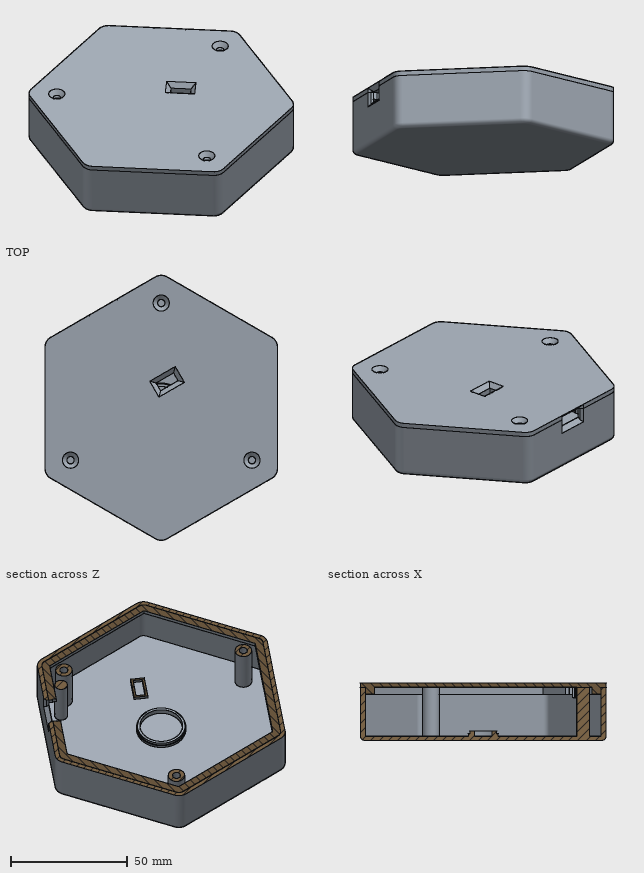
import cadquery as cq
import math

overall_length = 113.9
total_height = 25.0
corner_radius = 5.0
corner_half_angle = math.radians(30)
corner_cut = corner_radius * (1 / math.cos(corner_half_angle) - 1)
apothem = (overall_length / 2 + corner_cut) * math.cos(corner_half_angle)

plate_thickness = 2.0
side_wall = 2.2
lid_base = total_height - plate_thickness
cavity_height = lid_base - plate_thickness

lip_height = 3.0
lip_outer_thickness = 1.6
lip_thickness = 3.3

screw_circle_radius = 45.0
screw_angles = (90, 210, 330)
clearance_diameter = 3.1
countersink_diameter = 7.0
countersink_angle = 90
pilot_diameter = 3.2
lead_in_diameter = 5.9
screw_post_diameter = 7.3

port_angle = 120
port_length = 14.5
port_height = 8.4
port_end_bevel = 1.1
port_slot_length = port_length - 2 * port_end_bevel
port_base = total_height - port_height
notch_step = 0.2

guide_post_diameter = 5.6
guide_post_position = (-8.4, 43.0)

window_center = (2.5, 11.2)
window_angle = 30
window_length = 12.6
window_width = 7.9
window_frame_height = 2.6
window_frame_thickness = 1.1

ring_inner_diameter = 18.3
ring_outer_diameter = 20.5
ring_foot_diameter = 21.3
ring_height = 2.3
ring_foot_height = 1.1


def hexagon_prism(inset, base, height):
    """Rounded hexagonal prism whose sides lie `inset` inside the outer sides."""
    vertex_radius = (apothem - inset) / math.cos(corner_half_angle)
    corners = [
        (
            vertex_radius * math.cos(math.radians(angle)),
            vertex_radius * math.sin(math.radians(angle)),
        )
        for angle in range(30, 390, 60)
    ]
    prism = cq.Workplane("XY").workplane(offset=base).polyline(corners).close().extrude(height)
    radius = corner_radius - inset
    return prism.edges("|Z").fillet(radius) if radius > 0 else prism


def bevelled_opening(plane, length, width):
    """Rectangular opening that narrows at 45 degrees over one plate thickness."""
    inner_length = length - 2 * plate_thickness
    inner_width = width - 2 * plate_thickness
    return (
        cq.Workplane(plane)
        .rect(length, width)
        .workplane(offset=-plate_thickness)
        .rect(inner_length, inner_width)
        .loft(ruled=True)
    )


def port_slot():
    """Straight-ended throat of the port, whose sill rises at 45 degrees and then runs level."""
    inner_face = apothem - side_wall
    sill = port_base + plate_thickness
    throat = (
        cq.Workplane("XZ")
        .moveTo(apothem, port_base)
        .lineTo(apothem - plate_thickness, sill)
        .lineTo(inner_face, sill)
        .lineTo(inner_face, lid_base)
        .lineTo(apothem, lid_base)
        .close()
        .extrude(port_slot_length / 2, both=True)
    )
    return throat.rotate((0, 0, 0), (0, 0, 1), port_angle)


def notch_block(start, depth, length):
    """Gap in the lip across the port axis, starting `start` inward from the outer wall face."""
    return (
        cq.Workplane("XY")
        .box(depth, length, lip_height, centered=(False, True, False))
        .translate((apothem - start - depth, 0, lid_base - lip_height))
        .rotate((0, 0, 0), (0, 0, 1), port_angle)
    )


def port_funnel():
    """Bevelled mouth of the port, which reaches up to the top of the lid."""
    plane = cq.Plane(
        origin=(apothem, 0, port_base + port_height / 2), xDir=(0, 1, 0), normal=(1, 0, 0)
    )
    funnel = bevelled_opening(plane, port_length, port_height)
    return funnel.rotate((0, 0, 0), (0, 0, 1), port_angle)


def post(position, diameter):
    """Round post from the floor up to the lid."""
    floor = cq.Workplane("XY").workplane(offset=plate_thickness)
    return floor.center(*position).circle(diameter / 2).extrude(cavity_height)


def screw_post(position):
    """Post with a screw hole that opens into a conical lead-in at its top."""
    return (
        post(position, screw_post_diameter)
        .faces(">Z")
        .workplane()
        .cskHole(pilot_diameter, lead_in_diameter, countersink_angle)
    )


def floor_ring():
    """Upright ring with a slightly wider foot."""
    floor = cq.Workplane("XY").workplane(offset=plate_thickness)
    foot = floor.circle(ring_foot_diameter / 2).extrude(ring_foot_height)
    rim = floor.circle(ring_outer_diameter / 2).extrude(ring_height)
    bore = floor.circle(ring_inner_diameter / 2).extrude(ring_height)
    return foot.union(rim).cut(bore)


screw_points = [
    (
        screw_circle_radius * math.cos(math.radians(angle)),
        screw_circle_radius * math.sin(math.radians(angle)),
    )
    for angle in screw_angles
]


def make_housing():
    """Open hexagonal tray with screw posts, guide post, floor ring and port."""
    tray = hexagon_prism(0, 0, lid_base).faces("<Z").edges().fillet(plate_thickness)
    tray = tray.cut(hexagon_prism(side_wall, plate_thickness, cavity_height))
    tray = tray.cut(port_funnel()).cut(port_slot())
    for point in screw_points:
        tray = tray.union(screw_post(point))
    return tray.union(post(guide_post_position, guide_post_diameter)).union(floor_ring())


def make_lip():
    """Hexagonal lip under the lid, notched in two steps behind the port."""
    lip_base = lid_base - lip_height
    lip = hexagon_prism(side_wall, lip_base, lip_height)
    lip = lip.cut(hexagon_prism(side_wall + lip_thickness, lip_base, lip_height))
    outer_notch = notch_block(side_wall, lip_outer_thickness, port_slot_length)
    inner_notch = notch_block(
        side_wall + lip_outer_thickness,
        lip_thickness - lip_outer_thickness,
        port_slot_length + 2 * notch_step,
    )
    return lip.cut(outer_notch).cut(inner_notch)


def make_lid():
    """Lid plate with lip, countersunk screw holes and framed window."""
    window_plane = cq.Plane(origin=(*window_center, total_height)).rotated((0, 0, window_angle))
    inner_length = window_length - 2 * plate_thickness
    inner_width = window_width - 2 * plate_thickness
    frame = (
        cq.Workplane(window_plane)
        .workplane(offset=-plate_thickness)
        .rect(inner_length + 2 * window_frame_thickness, inner_width + 2 * window_frame_thickness)
        .rect(inner_length, inner_width)
        .extrude(-window_frame_height)
    )
    plate = (
        hexagon_prism(0, lid_base, plate_thickness)
        .faces(">Z")
        .workplane(origin=(0, 0, total_height))
        .pushPoints(screw_points)
        .cskHole(clearance_diameter, countersink_diameter, countersink_angle)
    )
    plate = plate.cut(bevelled_opening(window_plane, window_length, window_width)).cut(port_funnel())
    return plate.union(make_lip()).union(frame)


housing = make_housing()
lid = make_lid()

result = cq.Compound.makeCompound([housing.solids().val(), lid.solids().val()])